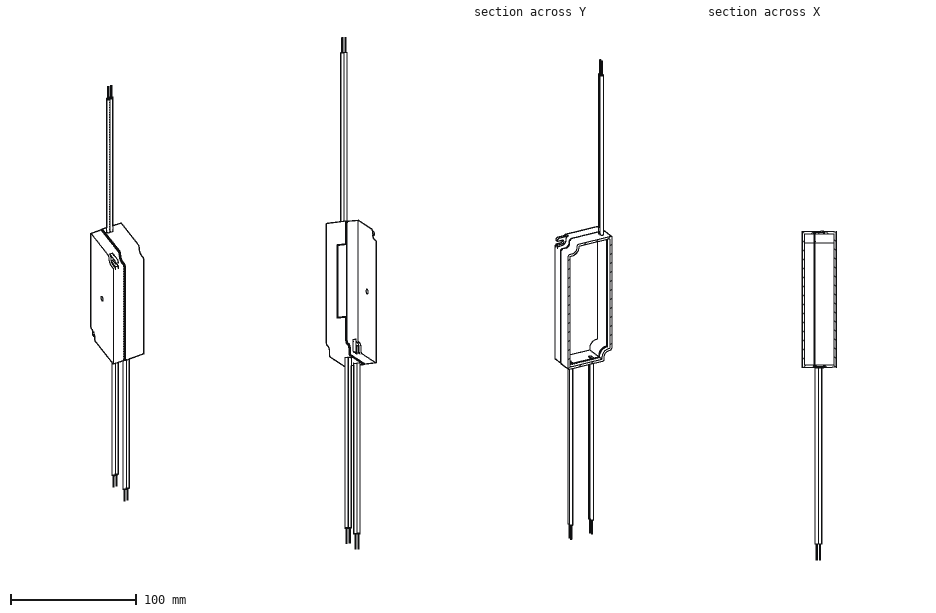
import cadquery as cq
import math

case_width = 40.87
case_height = 109.0
case_depth = 27.08
draft_angle = 1.0
corner_radius = 1.8

back_rim_y = -3.3
front_rim_y = -4.2
lip_top_y = 3.2
rebate_floor_y = 4.2
front_setback = 0.3
skin_thickness = 1.3
wall_thickness = 2.5
floor_thickness = 2.0

notch_width = 7.1
notch_depth = 7.9
notch_shoulder_radius = 2.6
notch_root_radius = 3.7
flange_front_y = -11.9
flange_thickness = 2.5
slot_width = 3.2
slot_edge_distance = 4.5
slot_length = 6.3

pad_low_z = -24.6
pad_high_z = 34.8
window_clearance = 0.4

dimple_radius = 2.0
dimple_depth = 0.5

wire_diameter = 2.7
core_diameter = 1.0
core_length = 12.5
overall_height = 414.07
pair_center_y = 0.7
upper_pair_x = [-14.2]
lower_pair_x = [-5.0, 14.0]

half_width = case_width / 2
half_height = case_height / 2
front_y = -case_depth / 2
back_y = case_depth / 2
wire_tip_z = overall_height / 2
wire_inner_z = half_height - wall_thickness


def plane_at(y):
    """Sketch plane with local axes X and Z; extruding a positive length goes toward -Y."""
    return cq.Workplane("XZ", origin=(0, y, 0))


def rounded_outline(plane, corners):
    """Closed outline through (x, z, radius) corners given counterclockwise, rounded where radius > 0."""
    stretches = []
    for i, (x, z, radius) in enumerate(corners):
        px, pz, _ = corners[i - 1]
        nx, nz, _ = corners[(i + 1) % len(corners)]
        to_prev = math.hypot(px - x, pz - z)
        to_next = math.hypot(nx - x, nz - z)
        ux, uz = (px - x) / to_prev, (pz - z) / to_prev
        vx, vz = (nx - x) / to_next, (nz - z) / to_next
        middle = radius * (1 - math.sqrt(0.5))
        stretches.append((
            (x + ux * radius, z + uz * radius),
            (x + (ux + vx) * middle, z + (uz + vz) * middle),
            (x + vx * radius, z + vz * radius),
            radius,
        ))
    outline = plane.moveTo(*stretches[0][2])
    for start, middle, end, radius in stretches[1:] + stretches[:1]:
        outline = outline.lineTo(*start)
        if radius > 0:
            outline = outline.threePointArc(middle, end)
    return outline.close()


def case_outline(plane, inset=0.0):
    """Case outline with its two corner notches, moved inward by inset."""
    x = half_width - inset
    z = half_height - inset
    outer = max(corner_radius - inset, 0)
    shoulder = max(notch_shoulder_radius - inset, 0)
    root = notch_root_radius + inset
    return rounded_outline(plane, [
        (-x, z, outer),
        (-x, -z + notch_depth, shoulder),
        (-x + notch_width, -z + notch_depth, root),
        (-x + notch_width, -z, outer),
        (x, -z, outer),
        (x, z - notch_width, outer),
        (x - notch_depth, z - notch_width, root),
        (x - notch_depth, z, shoulder),
    ])


def prism(inset, from_y, to_y, taper=0.0):
    """Case outline extruded between two Y levels, narrowing by taper toward to_y."""
    return case_outline(plane_at(from_y), inset).extrude(from_y - to_y, taper=taper)


def box_between(x_range, y_range, z_range):
    """Block between two limits on each axis."""
    sizes = [high - low for low, high in (x_range, y_range, z_range)]
    return cq.Workplane("XY").box(*sizes, centered=False).translate(
        (x_range[0], y_range[0], z_range[0])
    )


def wire_positions():
    """(x, y, direction) of every wire; direction is +1 for up and -1 for down."""
    positions = []
    for direction, columns in ((1, upper_pair_x), (-1, lower_pair_x)):
        for x in columns:
            for side in (1, -1):
                positions.append((x, pair_center_y + side * wire_diameter / 2, direction))
    return positions


def make_wire(x, y, direction):
    """Insulated wire with a stripped end, starting at the inner face of the end wall."""
    jacket_end_z = wire_tip_z - core_length
    jacket = (
        cq.Workplane("XY", origin=(x, y, direction * wire_inner_z))
        .circle(wire_diameter / 2)
        .extrude(direction * (jacket_end_z - wire_inner_z))
    )
    core = (
        cq.Workplane("XY", origin=(x, y, direction * jacket_end_z))
        .circle(core_diameter / 2)
        .extrude(direction * core_length)
    )
    return jacket.union(core)


def make_flanges():
    """Mounting flanges that fill the two notches of the front cover, and the cutters for their slots."""
    flange_back_y = flange_front_y + flange_thickness
    y_range = (flange_front_y, flange_back_y)
    z = half_height
    x = half_width
    full_block = (
        plane_at(front_rim_y).rect(case_width - 2 * front_setback, case_height - 2 * front_setback)
        .extrude(front_rim_y - front_y, taper=draft_angle)
        .edges("not(|X or |Z)").fillet(corner_radius)
    )
    margin = wall_thickness
    lower = box_between((-x, -x + notch_width + margin), y_range, (-z, -z + notch_depth + margin))
    upper = box_between((x - notch_depth - margin, x), y_range, (z - notch_width - margin, z))
    slots = []
    for center_x, center_z, angle in (
        (-x + slot_edge_distance, -z, 90),
        (x, z - slot_edge_distance, 0),
    ):
        slots.append(
            plane_at(flange_back_y).center(center_x, center_z)
            .slot2D(2 * slot_length, slot_width, angle).extrude(flange_thickness)
        )
    flanges = lower.union(upper).intersect(full_block)
    return flanges, slots


def latch_block(y_range, clearance=0.0):
    """Block through the -X wall that spans the latch pad height, widened in Z by clearance."""
    return box_between(
        (-half_width, -half_width + wall_thickness),
        y_range,
        (pad_low_z - clearance, pad_high_z + clearance),
    )


def make_dimple_cutter():
    """Ball that leaves a shallow dimple in the middle of the front face."""
    ball_radius = (dimple_radius**2 + dimple_depth**2) / (2 * dimple_depth)
    ball_center_y = front_y + dimple_depth - ball_radius
    return cq.Workplane("XY").sphere(ball_radius).translate((0, ball_center_y, 0))


def make_back_cover():
    """Drafted shell, rebated for the lip of the front cover, with the latch window."""
    shell = prism(0, back_rim_y, back_y, draft_angle)
    cavity = prism(wall_thickness, back_rim_y, back_y - floor_thickness)
    rebate = prism(skin_thickness, back_rim_y, rebate_floor_y)
    window = latch_block((back_rim_y, rebate_floor_y), window_clearance)
    return shell.cut(cavity).cut(rebate).cut(window)


def make_front_cover():
    """Drafted shell with the lip, the latch pad, the slotted flanges and the dimple."""
    shell = prism(front_setback, front_rim_y, front_y, draft_angle)
    lip = prism(skin_thickness, lip_top_y, front_rim_y)
    cavity = prism(wall_thickness, lip_top_y, front_y + floor_thickness)
    flanges, slots = make_flanges()
    cover = shell.union(lip).union(flanges).cut(cavity)
    cover = cover.union(latch_block((front_rim_y, lip_top_y)))
    for slot in slots:
        cover = cover.cut(slot)
    return cover.cut(make_dimple_cutter())


back_cover = make_back_cover()
front_cover = make_front_cover()
wires = [make_wire(*position) for position in wire_positions()]

for wire in wires:
    back_cover = back_cover.cut(wire)
    front_cover = front_cover.cut(wire)

result = cq.Compound.makeCompound([
    back_cover.val(),
    front_cover.val(),
    *[wire.val() for wire in wires],
])